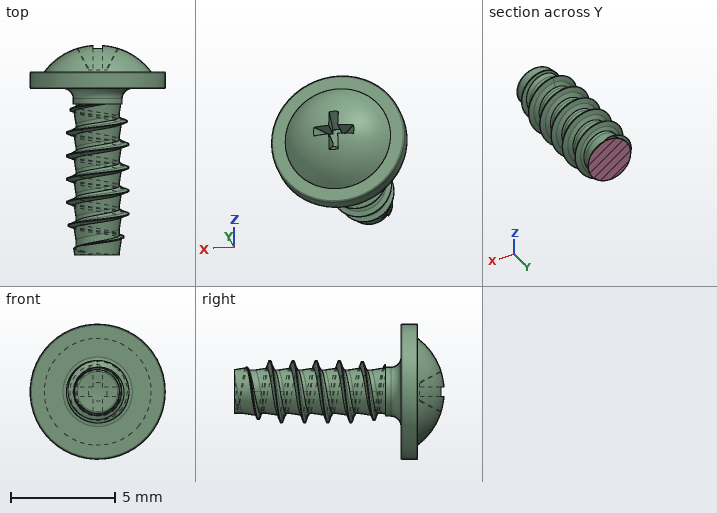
import cadquery as cq
import math


flange_radius = 3.25
flange_thickness = 0.8
flange_edge_round = 0.06
dome_base_radius = 2.57
dome_height = 1.285
head_height = flange_thickness + dome_height
dome_sphere_radius = (dome_base_radius**2 + dome_height**2) / (2 * dome_height)

recess_wing_width = 0.44
recess_rim_depth = 0.155
recess_depth = 1.2
recess_floor_radius = 0.45
recess_rim_radius = math.sqrt(dome_sphere_radius**2 - (dome_sphere_radius - recess_rim_depth)**2)

shank_length = 8.0
collar_radius = 1.178
collar_length = 0.75
neck_fillet = 0.49
core_radius = 1.045
tip_dish_radius = 0.97
tip_dish_depth = 0.09

pitch = 1.113
crest_radius = 1.503
crest_width = 0.04
crest_depth_at_plus_x = 3.797
upper_flank_bend_radius = 1.26
upper_flank_bend_offset = 0.10
upper_flank_height = 0.235
lower_flank_height = 0.165
root_radius = 1.156
root_taper_length = 0.78
flank_foot_radius = 1.09
sink = 0.01
root_inner_radius = core_radius - 0.15
fin_inner_radius = core_radius - 0.1

fin_neck_turn = 2.9
neck_run_out_turn = 1.5
tip_run_out_turn = -2.25
fin_tip_turn = -3.65
root_neck_turn = 3.5
root_tip_turn = -3.6
neck_run_out_slope = 0.145
tip_run_out_slope = 0.285


def make_body():
    """Head, neck, collar and plain core as one turned body."""
    arc_half_angle = math.asin(dome_base_radius / dome_sphere_radius) / 2
    dome_mid = (
        dome_sphere_radius * math.sin(arc_half_angle),
        head_height - dome_sphere_radius * (1 - math.cos(arc_half_angle)),
    )
    fillet_outer_radius = collar_radius + neck_fillet
    fillet_mid = (
        fillet_outer_radius - neck_fillet * math.sqrt(0.5),
        -neck_fillet * (1 - math.sqrt(0.5)),
    )
    flange_flat_radius = flange_radius - flange_edge_round
    profile = (
        cq.Workplane("XZ")
        .moveTo(0, head_height)
        .threePointArc(dome_mid, (dome_base_radius, flange_thickness))
        .lineTo(flange_flat_radius, flange_thickness)
        .tangentArcPoint((flange_edge_round, -flange_edge_round))
        .lineTo(flange_radius, flange_edge_round)
        .tangentArcPoint((-flange_edge_round, -flange_edge_round))
        .lineTo(fillet_outer_radius, 0)
        .threePointArc(fillet_mid, (collar_radius, -neck_fillet))
        .lineTo(collar_radius, -collar_length)
        .lineTo(core_radius, -collar_length)
        .lineTo(core_radius, -shank_length)
        .lineTo(0, -shank_length)
        .close()
    )
    return profile.revolve(360, (0, 0, 0), (0, 1, 0))


def helical_sweep(profile_points, start_turn, end_turn, slope=0):
    """Sweep an axial (radius, height) profile right-handed from one turn count to another.

    The slope is the radius lost per length along the axis.
    """
    height = abs(end_turn - start_turn) * pitch
    if slope == 0:
        helix = cq.Wire.makeHelix(pitch, height, crest_radius)
    else:
        cone_angle = math.atan(slope)
        stretch = 1 / math.cos(cone_angle)
        helix = cq.Wire.makeHelix(
            pitch * stretch,
            height * stretch,
            crest_radius,
            angle=-math.degrees(cone_angle),
        )
    if end_turn < start_turn:
        helix = helix.rotate(cq.Vector(0, 0, 0), cq.Vector(1, 0, 0), 180)
    ridge = (
        cq.Workplane("XZ")
        .polyline(profile_points)
        .close()
        .sweep(cq.Workplane(helix), isFrenet=True)
    )
    start_height = start_turn * pitch - crest_depth_at_plus_x
    return ridge.rotate((0, 0, 0), (0, 0, 1), 360 * start_turn).translate((0, 0, start_height))


def make_root():
    """Raised root that tapers from just under each thread down into the core."""
    points = [
        (root_inner_radius, 0),
        (root_radius, 0),
        (core_radius - sink, -root_taper_length),
        (root_inner_radius, -root_taper_length),
    ]
    return helical_sweep(points, root_tip_turn, root_neck_turn)


def make_fin():
    """Thread fin at full height, sinking into the core towards the neck and the tip."""
    half_crest = crest_width / 2
    points = [
        (fin_inner_radius, upper_flank_height),
        (core_radius - sink, upper_flank_height),
        (upper_flank_bend_radius, upper_flank_bend_offset),
        (crest_radius, half_crest),
        (crest_radius, -half_crest),
        (flank_foot_radius, -lower_flank_height),
        (fin_inner_radius, -lower_flank_height),
    ]
    full_fin = helical_sweep(points, tip_run_out_turn, neck_run_out_turn)
    neck_run_out = helical_sweep(points, neck_run_out_turn, fin_neck_turn, neck_run_out_slope)
    tip_run_out = helical_sweep(points, tip_run_out_turn, fin_tip_turn, tip_run_out_slope)
    return full_fin.union(neck_run_out).union(tip_run_out)


def make_thread():
    """Root and fin, cut off level with the collar and the tip."""
    threaded_zone = (
        cq.Workplane("XY", origin=(0, 0, -shank_length))
        .circle(2 * crest_radius)
        .extrude(shank_length - collar_length)
    )
    return make_root().union(make_fin()).intersect(threaded_zone)


def make_tip_dish():
    """Shallow cone sunk into the tip face."""
    profile = (
        cq.Workplane("XZ", origin=(0, 0, -shank_length))
        .polyline([(0, 0), (tip_dish_radius, 0), (0, tip_dish_depth)])
        .close()
    )
    return profile.revolve(360, (0, 0, 0), (0, 1, 0))


def make_recess():
    """Cross recess: two crossed slots whose wing ends slope in towards the floor."""
    wing_span = 2 * recess_rim_radius
    wing = cq.Workplane("XY").box(wing_span, recess_wing_width, recess_depth, centered=(True, True, False))
    cross = wing.union(wing.rotate((0, 0, 0), (0, 0, 1), 90))
    cone = (
        cq.Workplane("XZ")
        .polyline([
            (0, 0),
            (recess_floor_radius, 0),
            (recess_rim_radius, recess_depth - recess_rim_depth),
            (recess_rim_radius, recess_depth),
            (0, recess_depth),
        ])
        .close()
        .revolve(360, (0, 0, 0), (0, 1, 0))
    )
    return cross.intersect(cone).translate((0, 0, head_height - recess_depth))


screw = make_body().union(make_thread()).cut(make_recess()).cut(make_tip_dish())
result = screw.rotate((0, 0, 0), (1, 0, 0), -90)